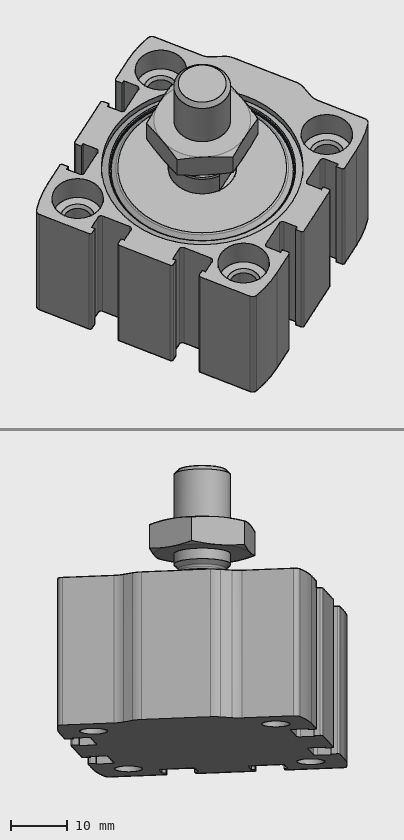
import cadquery as cq
import math

total_height = 49.5
housing_height = 26.5
housing_width = 45.0

half_width = housing_width / 2
side_bow_start = 15.55
corner_radius = 1.0
bump_height = 2.0
bump_angle = math.radians(30)
bump_base_half = 10.5
bump_radius = 3.45

slot_offset = 7.95
slot_mouth_width = 5.15
slot_inner_width = 6.45
slot_lip = 1.5
slot_depth = 4.65
slot_edge_radius = 0.4
slot_floor_radius = 0.6

hole_offset = 16.3
hole_diameter = 4.9
counterbore_diameter = 9.0
counterbore_depth = 5.2
hole_chamfer = 0.55

recess_radius = 35.4 / 2
recess_depth = 1.35
ridge_radius = 16.4
ridge_depth = 0.55
ridge_chamfer = 0.2
groove_depth = 1.2
cap_radius = 32.0 / 2
cap_edge_depth = 1.05
cap_shoulder_radius = 15.15
cap_shoulder_depth = 0.4
cap_top_radius = 14.8
cap_top_depth = 0.25

rod_diameter = 12.0
rod_seat_depth = 10.0
rod_shoulder_height = 4.15
rod_shoulder_chamfer_rise = 0.4
rod_shoulder_chamfer_run = 0.15
flats_width = 10.0
flats_end_angle = math.radians(28)
flats_end_depth = 0.25
thread_diameter = 10.0
thread_chamfer = 0.8
undercut_diameter = 8.1
undercut_lead_diameter = 8.65
undercut_length = 2.0
undercut_round = 0.6

nut_across_flats = 17.0
nut_thickness = 5.0
nut_from_rod_end = 10.0
nut_corner_drop = 0.4

cap_face_z = housing_height - cap_top_depth
rod_bottom_z = cap_face_z - rod_seat_depth
shoulder_z = housing_height + rod_shoulder_height
nut_top_z = total_height - nut_from_rod_end
nut_bottom_z = nut_top_z - nut_thickness


def bowed_block():
    """Block whose sides bow inward near the corners, with rounded vertical corners."""
    bow_radius = half_width
    bow_rise = half_width - side_bow_start

    def bow_x(rise):
        return math.sqrt(bow_radius**2 - rise**2)

    corner_x = bow_x(bow_rise)
    middle_x = bow_x(bow_rise / 2)
    middle_y = side_bow_start + bow_rise / 2
    return (
        cq.Workplane("XY")
        .moveTo(-corner_x, -half_width)
        .lineTo(corner_x, -half_width)
        .threePointArc((middle_x, -middle_y), (half_width, -side_bow_start))
        .lineTo(half_width, side_bow_start)
        .threePointArc((middle_x, middle_y), (corner_x, half_width))
        .lineTo(-corner_x, half_width)
        .threePointArc((-middle_x, middle_y), (-half_width, side_bow_start))
        .lineTo(-half_width, -side_bow_start)
        .threePointArc((-middle_x, -middle_y), (-corner_x, -half_width))
        .close()
        .extrude(housing_height)
        .edges("|Z and (>Y or <Y)")
        .fillet(corner_radius)
    )


def add_bump(block):
    """Raised pad on the +Y side, blended into it by round slopes."""
    bump_top_half = bump_base_half - bump_height / math.tan(bump_angle)
    bump_y = half_width + bump_height
    pad = (
        cq.Workplane("XY")
        .polyline([
            (-bump_base_half, 0),
            (-bump_base_half, half_width),
            (-bump_top_half, bump_y),
            (bump_top_half, bump_y),
            (bump_base_half, half_width),
            (bump_base_half, 0),
        ])
        .close()
        .extrude(housing_height)
    )
    probe = 0.05
    slope_edges = cq.selectors.BoxSelector(
        (-bump_base_half - probe, half_width - probe, -probe),
        (bump_base_half + probe, bump_y + probe, housing_height + probe),
    )
    return block.union(pad).edges("|Z").edges(slope_edges).fillet(bump_radius)


def t_slot(offset, turn):
    """Cutter for one T-slot in the -Y side, turned about Z onto its own side."""
    floor_y = -half_width + slot_depth
    lip_y = -half_width + slot_lip
    chamber = (
        cq.Workplane("XY")
        .center(offset, (floor_y + lip_y) / 2)
        .rect(slot_inner_width, floor_y - lip_y)
        .extrude(housing_height)
        .edges("|Z and >Y")
        .fillet(slot_floor_radius)
    )
    mouth_half = slot_mouth_width / 2
    flare_half = mouth_half + slot_edge_radius
    flare_y = -half_width + slot_edge_radius
    mouth = (
        cq.Workplane("XY")
        .moveTo(offset - mouth_half, floor_y)
        .lineTo(offset - mouth_half, flare_y)
        .radiusArc((offset - flare_half, -half_width), slot_edge_radius)
        .lineTo(offset + flare_half, -half_width)
        .radiusArc((offset + mouth_half, flare_y), slot_edge_radius)
        .lineTo(offset + mouth_half, floor_y)
        .close()
        .extrude(housing_height)
    )
    return chamber.union(mouth).rotate((0, 0, 0), (0, 0, 1), turn)


def cut_t_slots(block):
    """Two T-slots in each of the -X, -Y and +X sides."""
    for turn in (-90, 0, 90):
        for offset in (-slot_offset, slot_offset):
            block = block.cut(t_slot(offset, turn))
    return block


def cut_mounting_holes(block):
    """Counterbored through hole in each corner, chamfered at the counterbore floor."""
    hole_radius = hole_diameter / 2
    floor_z = housing_height - counterbore_depth
    cutter = (
        cq.Workplane("XZ")
        .polyline([
            (0, 0),
            (hole_radius, 0),
            (hole_radius, floor_z - hole_chamfer),
            (hole_radius + hole_chamfer, floor_z),
            (counterbore_diameter / 2, floor_z),
            (counterbore_diameter / 2, housing_height),
            (0, housing_height),
        ])
        .close()
        .revolve(360, (0, 0, 0), (0, 1, 0))
    )
    for x in (-hole_offset, hole_offset):
        for y in (-hole_offset, hole_offset):
            block = block.cut(cutter.translate((x, y, 0)))
    return block


def cut_end_face(block):
    """Round recess around the rod, leaving a sloped ring and the raised cap inside it."""
    groove_radius = ridge_radius - ridge_chamfer
    cutter = (
        cq.Workplane("XZ")
        .polyline([
            (0, housing_height),
            (0, cap_face_z),
            (cap_top_radius, cap_face_z),
            (cap_shoulder_radius, housing_height - cap_shoulder_depth),
            (cap_radius, housing_height - cap_edge_depth),
            (cap_radius, housing_height - groove_depth),
            (groove_radius, housing_height - groove_depth),
            (groove_radius, housing_height - ridge_depth - ridge_chamfer),
            (ridge_radius, housing_height - ridge_depth),
            (recess_radius, housing_height - recess_depth),
            (recess_radius, housing_height),
        ])
        .close()
        .revolve(360, (0, 0, 0), (0, 1, 0))
    )
    return block.cut(cutter)


def cut_rod_seat(block):
    """Blind hole that holds the lower end of the rod."""
    seat = (
        cq.Workplane("XY", origin=(0, 0, rod_bottom_z))
        .circle(rod_diameter / 2)
        .extrude(rod_seat_depth)
    )
    return block.cut(seat)


def make_housing():
    block = add_bump(bowed_block())
    block = cut_t_slots(block)
    block = cut_mounting_holes(block)
    block = cut_end_face(block)
    return cut_rod_seat(block)


def make_rod():
    """Round rod with a chamfered threaded end and an undercut below the thread."""
    rod_radius = rod_diameter / 2
    thread_radius = thread_diameter / 2
    undercut_radius = undercut_diameter / 2
    lead_radius = undercut_lead_diameter / 2
    undercut_top_z = shoulder_z + undercut_length
    lower_step = lead_radius - undercut_radius
    lower_blend = math.sqrt(undercut_round**2 - (undercut_round - lower_step) ** 2)
    upper_step = undercut_round * (1 - math.cos(math.radians(45)))
    upper_blend = undercut_round * math.sin(math.radians(45))
    cone_radius = undercut_radius + upper_step
    cone_z = undercut_top_z - (thread_radius - cone_radius)
    rod = (
        cq.Workplane("XZ")
        .moveTo(0, rod_bottom_z)
        .lineTo(rod_radius, rod_bottom_z)
        .lineTo(rod_radius, shoulder_z - rod_shoulder_chamfer_rise)
        .lineTo(rod_radius - rod_shoulder_chamfer_run, shoulder_z)
        .lineTo(lead_radius, shoulder_z)
        .radiusArc((undercut_radius, shoulder_z + lower_blend), undercut_round)
        .lineTo(undercut_radius, cone_z - upper_blend)
        .radiusArc((cone_radius, cone_z), undercut_round)
        .lineTo(thread_radius, undercut_top_z)
        .lineTo(thread_radius, total_height - thread_chamfer)
        .lineTo(thread_radius - thread_chamfer, total_height)
        .lineTo(0, total_height)
        .close()
        .revolve(360, (0, 0, 0), (0, 1, 0))
    )
    return rod


def cut_wrench_flats(rod):
    """Flat on the -X and +X sides, each ending in a face that slopes down and outward."""
    flat_x = flats_width / 2
    outer_x = rod_diameter / 2
    end_z = cap_face_z - flats_end_depth
    runout_drop = (outer_x - flat_x) * math.tan(flats_end_angle)
    cutter = (
        cq.Workplane("XZ")
        .polyline([
            (flat_x, end_z),
            (outer_x, end_z - runout_drop),
            (outer_x, shoulder_z),
            (flat_x, shoulder_z),
        ])
        .close()
        .extrude(rod_diameter / 2, both=True)
    )
    return rod.cut(cutter).cut(cutter.mirror("YZ"))


def make_nut():
    """Hexagon nut with corners on the Y axis, both ends chamfered to the inscribed circle."""
    flat_radius = nut_across_flats / 2
    hex_radius = flat_radius / math.cos(math.radians(30))
    hexagon = (
        cq.Workplane("XY", origin=(0, 0, nut_bottom_z))
        .polygon(6, 2 * hex_radius)
        .extrude(nut_thickness)
        .rotate((0, 0, 0), (0, 0, 1), 30)
    )
    chamfered_envelope = (
        cq.Workplane("XZ")
        .polyline([
            (thread_diameter / 2, nut_bottom_z),
            (flat_radius, nut_bottom_z),
            (hex_radius, nut_bottom_z + nut_corner_drop),
            (hex_radius, nut_top_z - nut_corner_drop),
            (flat_radius, nut_top_z),
            (thread_diameter / 2, nut_top_z),
        ])
        .close()
        .revolve(360, (0, 0, 0), (0, 1, 0))
    )
    return hexagon.intersect(chamfered_envelope)


housing = make_housing()
rod = cut_wrench_flats(make_rod())
nut = make_nut()

result = cq.Compound.makeCompound([housing.val(), rod.val(), nut.val()])